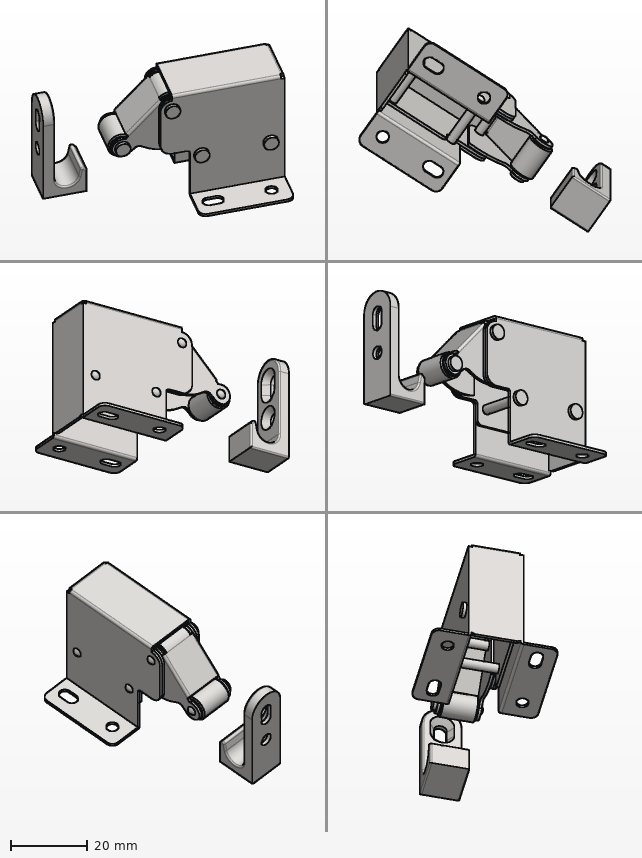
import cadquery as cq
import math

sheet = 0.8

housing_half_width = 14.9 / 2
housing_height = 34.55
base_depth = 26.0
ledge_height = 15.2
nose_radius = 3.15
ledge_fillet = 1.0
corner_relief = 1.0
back_wall_bottom = 0.85
back_wall_bevel_width = 1.0
back_wall_bevel_height = 0.4

flange_half_span = 17.0
flange_corner_radius = 2.05
mount_hole_x = 11.95
mount_hole_rear_y = -5.0
mount_hole_front_y = -21.0
mount_hole_diameter = 3.3
mount_slot_length = 5.8

rivet_radius = 1.3
rivet_dome_height = 0.85
rivet_head_radius = 2.05
rivet_head_height = 1.0
rivet_height = 13.3
rivet_rear_y = -3.95
rivet_front_y = -22.9

pivot_y = -30.9
pivot_z = 29.8

liner_half_width = housing_half_width - sheet
left_leg_bottom = 8.65
right_leg_bottom = 10.95
right_leg_front_y = -21.3
liner_corner_radius = 1.4
liner_bend_radius = 1.0

arm_half_width = liner_half_width - sheet
arm_hub_radius = 3.1
web_slope = 45.5
web_length = 13.4
curl_half_width = 4.5
arm_swing_radius = 14.0
swing_end_dy = -5.8
notch_swing_end = (-7.8, -11.6)
notch_crown = (-8.85, -11.3)
notch_tip_end = (-10.1, -11.95)
notch_tip_foot = (-10.9, -12.5)
arm_tip_radius = 2.8
roller_dy = -13.2
roller_dz = -10.9

roller_radius = 3.55
roller_half_length = 4.9
roller_chamfer = 0.4

keeper_front_y = -65.6
keeper_depth = 12.0
keeper_bottom = 6.05
keeper_top = 36.0
keeper_half_width = 10.75 / 2
keeper_plate = 3.15
hook_radius = 3.35
hook_centre_z = 12.4
hook_back_top = 13.3
hook_lip_radius = 0.6
hook_lip_angle = 12.0
keeper_edge_fillet = 0.45
keeper_hole_diameter = 3.5
keeper_hole_z = 19.1
keeper_slot_z = 28.5
keeper_slot_length = 6.55
countersink_radius = 3.3
countersink_depth = 2.0


def box(x0, x1, y0, y1, z0, z1):
    """Axis-aligned box between two opposite corners."""
    return cq.Workplane("XY").box(x1 - x0, y1 - y0, z1 - z0, centered=False).translate((x0, y0, z0))


def side_plane(x=0, y=0, z=0):
    """Workplane facing +X, with local axes Y and Z."""
    return cq.Workplane("YZ", origin=(x, y, z))


def cylinder_x(radius, x0, x1, y, z):
    """Cylinder along X."""
    return side_plane(x0, y, z).circle(radius).extrude(x1 - x0)


def rivet(half_grip, y, z):
    """Rivet along X: domed end at -X, flat head at +X."""
    shank = cylinder_x(rivet_radius, -half_grip, half_grip, y, z)
    head = cylinder_x(rivet_head_radius, half_grip, half_grip + rivet_head_height, y, z)
    dome_rise = rivet_dome_height * math.sqrt(0.5)
    sphere_radius = (rivet_radius**2 + rivet_dome_height**2) / (2 * rivet_dome_height)
    apex = -half_grip - rivet_dome_height
    dome_mid_x = apex + rivet_dome_height - dome_rise
    dome_mid_r = math.sqrt(sphere_radius**2 - (dome_mid_x - apex - sphere_radius) ** 2)
    dome = (
        cq.Workplane("XY", origin=(0, y, z))
        .moveTo(apex, 0)
        .threePointArc((dome_mid_x, dome_mid_r), (-half_grip, rivet_radius))
        .lineTo(-half_grip, 0)
        .close()
        .revolve(360, (0, 0, 0), (1, 0, 0))
    )
    return shank.union(head).union(dome)


def nose_plate(x0, x1, back_y, top_z, leg_front_y, leg_bottom_z):
    """Plate with a leg and a forward nose whose two front corners are round."""
    nose_front_y = pivot_y - nose_radius
    diagonal = nose_radius * math.sqrt(0.5)
    lower_z = ledge_height + nose_radius
    return (
        side_plane(x0)
        .moveTo(back_y, leg_bottom_z)
        .lineTo(back_y, top_z)
        .lineTo(pivot_y, top_z)
        .lineTo(pivot_y, pivot_z + nose_radius)
        .threePointArc((pivot_y - diagonal, pivot_z + diagonal), (nose_front_y, pivot_z))
        .lineTo(nose_front_y, lower_z)
        .threePointArc((pivot_y - diagonal, lower_z - diagonal), (pivot_y, ledge_height))
        .lineTo(leg_front_y - ledge_fillet, ledge_height)
        .radiusArc((leg_front_y, ledge_height - ledge_fillet), ledge_fillet)
        .lineTo(leg_front_y, leg_bottom_z)
        .close()
        .extrude(x1 - x0)
    )


housing_rivets = [
    rivet(housing_half_width, pivot_y, pivot_z),
    rivet(housing_half_width, rivet_rear_y, rivet_height),
    rivet(housing_half_width, rivet_front_y, rivet_height),
]


def make_housing():
    w = housing_half_width
    shell = nose_plate(-w, w, 0, housing_height, -base_depth, 0)
    shell = shell.faces(">Z").edges("|Y or >Y").fillet(sheet)

    inner = liner_half_width
    front = pivot_y - 2 * nose_radius
    shell = shell.cut(box(-inner, inner, front, -sheet, 0, housing_height - sheet))
    bevel_top = back_wall_bottom + back_wall_bevel_height
    bevel_x = inner - back_wall_bevel_width
    below_back_wall = (
        cq.Workplane("XZ")
        .polyline([
            (-inner, 0),
            (-inner, bevel_top),
            (-bevel_x, back_wall_bottom),
            (bevel_x, back_wall_bottom),
            (inner, bevel_top),
            (inner, 0),
        ])
        .close()
        .extrude(sheet)
    )
    shell = shell.cut(below_back_wall)
    shell = shell.cut(box(-w, w, front, pivot_y, pivot_z + nose_radius, housing_height))
    for side in (-1, 1):
        notch = box(-corner_relief, corner_relief, -corner_relief, 0, 0, corner_relief)
        notch_x = side * w
        shell = shell.cut(notch.translate((notch_x, 0, housing_height - corner_relief)))

    flanges = cq.Workplane("XY").box(2 * flange_half_span, base_depth, sheet, centered=(True, False, False))
    flanges = flanges.translate((0, -base_depth, 0)).edges("|Z").fillet(flange_corner_radius)
    flanges = flanges.cut(box(-inner, inner, -base_depth, 0, 0, sheet))
    shell = shell.union(flanges)
    shell = shell.edges(cq.selectors.BoxSelector(
        (-inner - 0.05, -base_depth, -0.05), (inner + 0.05, 0, 0.05))).edges("|Y").fillet(sheet)

    for side in (-1, 1):
        slot_y, hole_y = mount_hole_rear_y, mount_hole_front_y
        if side > 0:
            slot_y, hole_y = hole_y, slot_y
        x = side * mount_hole_x
        plane = cq.Workplane("XY")
        shell = shell.cut(plane.center(x, hole_y).circle(mount_hole_diameter / 2).extrude(sheet))
        shell = shell.cut(plane.center(x, slot_y).slot2D(mount_slot_length, mount_hole_diameter, 90).extrude(sheet))

    for part in housing_rivets:
        shell = shell.union(part)
    return shell


def make_liner():
    outer = liner_half_width
    inner = arm_half_width
    top = housing_height - sheet
    left = nose_plate(-outer, -inner, -sheet, top, -base_depth, left_leg_bottom)
    right = nose_plate(inner, outer, -sheet, top, right_leg_front_y, right_leg_bottom)
    left = left.edges("|X and <Z").edges("<Y").fillet(liner_corner_radius)
    right = right.edges("|X and <Z").edges("<Y").fillet(liner_corner_radius)
    roof = box(-outer, outer, pivot_y, -sheet, top - sheet, top)
    liner = left.union(roof).union(right)
    liner = liner.faces(">Z").edges("|Y").fillet(liner_bend_radius)
    for part in housing_rivets:
        liner = liner.cut(part)
    return liner


def make_arm():
    pivot = {"y": pivot_y, "z": pivot_z}
    slope = math.radians(web_slope)
    rise, run = math.sin(slope), math.cos(slope)
    web_outer_radius = arm_hub_radius + sheet

    def on_web(distance, along):
        """Point at a distance from the pivot across the web and a length along it."""
        return (-distance * rise - along * run, distance * run - along * rise)

    along_roller = -run * roller_dy - rise * roller_dz
    heel_z = -math.sqrt(arm_swing_radius**2 - arm_hub_radius**2)
    swing_end = (swing_end_dy, -math.sqrt(arm_swing_radius**2 - swing_end_dy**2))
    swing_mid = (0, -arm_swing_radius)
    plates = (
        side_plane(-arm_half_width, **pivot)
        .moveTo(arm_hub_radius, 0)
        .threePointArc((0, arm_hub_radius), on_web(arm_hub_radius, 0))
        .lineTo(*on_web(arm_hub_radius, along_roller - arm_tip_radius / 2))
        .lineTo(roller_dy, roller_dz)
        .lineTo(*notch_tip_foot)
        .lineTo(*notch_tip_end)
        .threePointArc(notch_crown, notch_swing_end)
        .lineTo(*swing_end)
        .threePointArc(swing_mid, (arm_hub_radius, heel_z))
        .close()
        .extrude(2 * arm_half_width)
    )
    tip = cylinder_x(arm_tip_radius, -arm_half_width, arm_half_width, pivot_y + roller_dy, pivot_z + roller_dz)
    inner = arm_half_width - sheet
    reach = 2 * arm_swing_radius
    gap = box(-inner, inner, pivot_y - reach, pivot_y + reach, pivot_z - reach, pivot_z + reach)
    plates = plates.union(tip).cut(gap)

    web = (
        side_plane(-arm_half_width, **pivot)
        .polyline([
            on_web(arm_hub_radius, 0),
            on_web(web_outer_radius, 0),
            on_web(web_outer_radius, web_length),
            on_web(arm_hub_radius, web_length),
        ])
        .close()
        .extrude(2 * arm_half_width)
    )
    bends = cq.selectors.ParallelDirSelector(cq.Vector(0, -run, -rise))
    arm = plates.union(web)
    arm = arm.faces(cq.selectors.DirectionMinMaxSelector(cq.Vector(0, -rise, run), True)).edges(bends).fillet(sheet * 0.95)

    half_angle = slope / 2
    curl = (
        side_plane(-curl_half_width, **pivot)
        .moveTo(0, arm_hub_radius)
        .lineTo(0, web_outer_radius)
        .threePointArc(
            (-web_outer_radius * math.sin(half_angle), web_outer_radius * math.cos(half_angle)),
            on_web(web_outer_radius, 0),
        )
        .lineTo(*on_web(arm_hub_radius, 0))
        .threePointArc(
            (-arm_hub_radius * math.sin(half_angle), arm_hub_radius * math.cos(half_angle)),
            (0, arm_hub_radius),
        )
        .close()
        .extrude(2 * curl_half_width)
    )
    arm = arm.union(curl).cut(housing_rivets[0])
    return arm.union(rivet(arm_half_width, pivot_y + roller_dy, pivot_z + roller_dz))


def make_roller():
    return (
        side_plane(-roller_half_length, pivot_y + roller_dy, pivot_z + roller_dz)
        .circle(roller_radius)
        .extrude(2 * roller_half_length)
        .edges()
        .chamfer(roller_chamfer)
        .cut(cylinder_x(rivet_radius, -arm_half_width, arm_half_width, pivot_y + roller_dy, pivot_z + roller_dz))
    )


def make_keeper():
    back_y = keeper_front_y + keeper_depth
    upright_y = keeper_front_y + keeper_plate
    hook_y = upright_y + hook_radius
    lean = math.radians(hook_lip_angle)
    lip_y = hook_y + hook_radius * math.cos(lean)
    lip_z = hook_centre_z - hook_radius * math.sin(lean)
    crest_rise = (back_y - lip_y + hook_back_top - lip_z) / (1 + math.tan(lean))
    crest_y = lip_y + crest_rise * math.tan(lean)
    crest_z = lip_z + crest_rise
    body = (
        side_plane(-keeper_half_width)
        .moveTo(keeper_front_y, keeper_bottom)
        .lineTo(keeper_front_y, keeper_top)
        .lineTo(upright_y, keeper_top)
        .lineTo(upright_y, hook_centre_z)
        .threePointArc((hook_y, hook_centre_z - hook_radius), (lip_y, lip_z))
        .lineTo(crest_y, crest_z)
        .lineTo(back_y, hook_back_top)
        .lineTo(back_y, keeper_bottom)
        .close()
        .extrude(2 * keeper_half_width)
    )
    crest = cq.selectors.NearestToPointSelector((0, crest_y, crest_z))
    body = body.edges(crest).fillet(hook_lip_radius)
    arch_z = keeper_top - keeper_half_width
    outline = (
        cq.Workplane("XZ", origin=(0, back_y, 0))
        .moveTo(-keeper_half_width, keeper_bottom)
        .lineTo(-keeper_half_width, arch_z)
        .threePointArc((0, keeper_top), (keeper_half_width, arch_z))
        .lineTo(keeper_half_width, keeper_bottom)
        .close()
        .extrude(keeper_depth)
    )
    body = body.intersect(outline)
    body = body.faces("<X or >X").edges("not(<Y)").fillet(keeper_edge_fillet)

    plane = cq.Workplane("XZ", origin=(0, upright_y, 0))
    hole = plane.center(0, keeper_hole_z)
    slot = plane.center(0, keeper_slot_z)
    flare = countersink_radius - keeper_hole_diameter / 2
    taper = math.degrees(math.atan2(flare, countersink_depth))
    flared_length = keeper_slot_length + 2 * flare
    cutters = [
        hole.circle(keeper_hole_diameter / 2).extrude(keeper_plate),
        hole.circle(countersink_radius).extrude(countersink_depth, taper=taper),
        slot.slot2D(keeper_slot_length, keeper_hole_diameter, 90).extrude(keeper_plate),
        slot.slot2D(flared_length, 2 * countersink_radius, 90).extrude(countersink_depth, taper=taper),
    ]
    for cutter in cutters:
        body = body.cut(cutter)
    return body


housing = make_housing()
liner = make_liner()
arm = make_arm()
roller = make_roller()
keeper = make_keeper()

result = cq.Compound.makeCompound([housing.val(), liner.val(), arm.val(), roller.val(), keeper.val()])